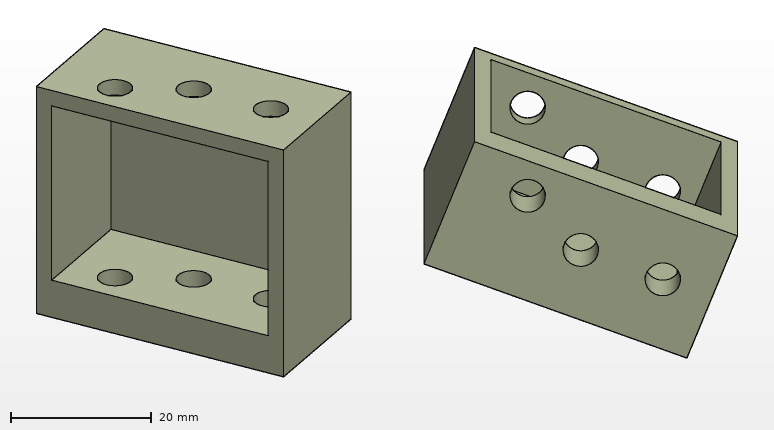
import cadquery as cq

length = 40.0
depth = 20.0
height = 36.5

cavity_length = 35.0
wall = (length - cavity_length) / 2
floor_thickness = 6.0
cavity_height = 28.0
cavity_depth = depth - wall

hole_diameter = 5.0
right_hole_offset = 12.5
hole_centers = [
    (-length / 4, -depth / 4),
    (0, 0),
    (right_hole_offset, 0),
]

block = cq.Workplane("XY").box(length, depth, height, centered=(True, True, False))

cavity = (
    cq.Workplane("XY")
    .box(cavity_length, cavity_depth, cavity_height, centered=(True, False, False))
    .translate((0, -depth / 2, floor_thickness))
)

holes = (
    cq.Workplane("XY")
    .pushPoints(hole_centers)
    .circle(hole_diameter / 2)
    .extrude(height)
)

result = block.cut(cavity).cut(holes)